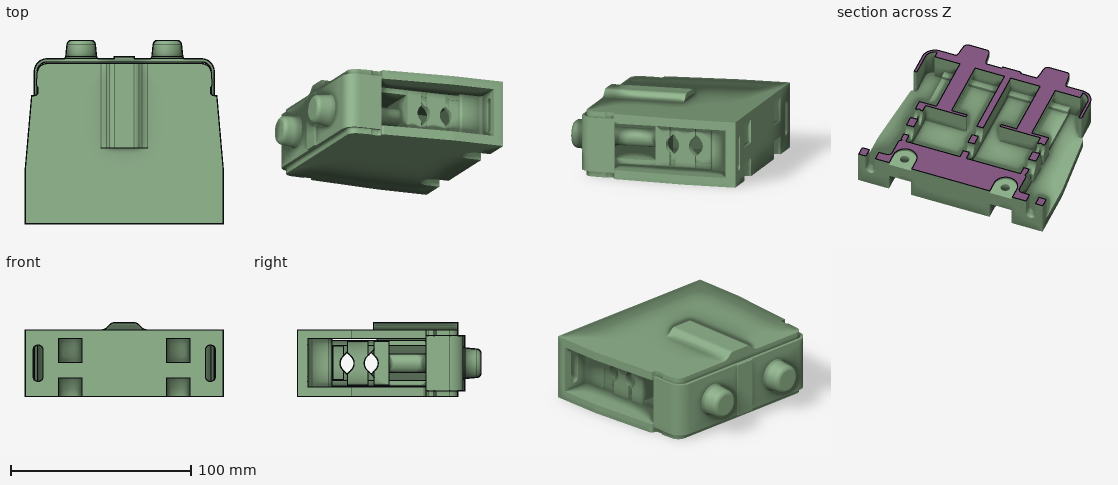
import cadquery as cq
import math

BODY_WIDTH = 110.0
BODY_HEIGHT = 37.0
HALF_WIDTH = BODY_WIDTH / 2
FLOOR_TOP = 5.2
CEILING = 32.1
FRONT_WALL = 5.7
MID_Z = BODY_HEIGHT / 2
TAPER_START_Y = 30.0
SHOULDER_Y = 71.2
SHOULDER_X = 51.4
PLATE_BACK_Y = 88.9
NECK_X = 48.0
NECK_END_Y = 75.7
BEAD_Y = 76.9
BEAD_X = 48.8
PLATE_BACK_X = 47.9
PLATE_CORNER_RADIUS = 5.1
NECK_FILLET = 1.6
LOWER_SHOULDER_FILLET = 1.2

BAND_HALF_WIDTH = 50.0
BAND_BACK_Y = 91.7
BAND_THICKNESS = 1.8
BAND_RADIUS = 7.4
BAND_BOTTOM = 3.2
BAND_TOP = BODY_HEIGHT - BAND_BOTTOM
TAB_WIDTH = 11.2
TAB_BACK_Y = 92.8
BACK_WALL_HALF_WIDTH = 43.5
BACK_WALL_FRONT_Y = 86.0
BACK_WALL_RECESS = 0.5

RAIL_HEIGHT = 4.0
RAIL_FRONT_Y = 42.1
RAIL_TOP_HALF = 5.5
RAIL_SHOULDER_HALF = 8.2
RAIL_SHOULDER_DROP = 1.3
RAIL_FOOT_RISE = 1.0
RAIL_BASE_HALF = 13.0

MOUNT_X = 30.0
POCKET_RADIUS = 6.6
POCKET_CENTER_Y = 7.0
LOWER_POCKET_TOP = 10.2
UPPER_POCKET_BOTTOM = 19.0
SCREW_HOLE_RADIUS = 2.6
SLOT_X = 47.75
SLOT_WIDTH = 5.4
SLOT_LENGTH = 20.2
FRONT_BLOCK_HALF = 38.1
FRONT_BLOCK_BACK_Y = 19.1
FRONT_BLOCK_EDGE = 1.8
FRONT_BLOCK_FILLET = 2.3

FRAME_HALF = 37.5
FRAME_LOWER_BOTTOM = 5.8
FRAME_LOWER_TOP = 8.8
FRAME_UPPER_BOTTOM = 28.4
FRAME_UPPER_TOP = 31.2
LEDGE_FRONT_Y = 82.3
LEDGE_TOP = 10.7
PLINTH_HALF = 35.0
SPACER_HALF = 10.0
SPACER_FRONT_Y = 44.0
DIVIDER_THICKNESS = 4.0

TERMINAL_X = 23.9
WIRE_Y = (27.5, 40.9)
WIRE_HALF_WIDTH = 3.8
WIRE_RADIUS = 5.4
WIRE_PEAK = WIRE_HALF_WIDTH + WIRE_RADIUS * (math.sqrt(2) - 1)
JAW_OUTER_X = 37.1
JAW_THICKNESS = 1.5
PLATE_THICKNESS = 1.2
PLATE_BOTTOM = 6.5
PLATE_TOP = 30.5
PRESSURE_PLATE_Y = (42.5, 50.8)
MIDDLE_PLATE_Y = (27.8, 39.1)
FIXED_JAW_Y = (19.7, 25.4)
FIXED_JAW_Z = (9.4, 28.0)
CROSS_BAR_THICKNESS = 2.0
CROSS_BAR_INNER_X = 10.0
SHANK_RADIUS = 5.05

KNOB_TIP_Y = 101.8
KNOB_FLAT_RADIUS = 6.0
KNOB_SHOULDER_RADIUS = 7.95
KNOB_SHOULDER_Y = 99.4
KNOB_BASE_RADIUS = 8.6
KNOB_FLARE_RADIUS = 9.2
KNOB_FLARE_Y = 92.9

SIDES = (-1, 1)
PICK_REACH = 0.2
COS_45 = math.sqrt(0.5)


def box(x_range, y_range, z_range):
    """Box spanning the given ranges, whose ends may come in either order."""
    spans = [sorted(span) for span in (x_range, y_range, z_range)]
    lengths = [high - low for low, high in spans]
    corner = tuple(low for low, high in spans)
    return cq.Workplane("XY").box(*lengths, centered=False).translate(corner)


def fillet_side_edges(body, x, y, radius):
    """Round the pair of vertical edges at (x, y) and (-x, y)."""
    for side in SIDES:
        low = (side * x - PICK_REACH, y - PICK_REACH, -PICK_REACH)
        high = (side * x + PICK_REACH, y + PICK_REACH, BODY_HEIGHT + PICK_REACH)
        body = body.edges(cq.selectors.BoxSelector(low, high)).edges("|Z").fillet(radius)
    return body


def housing_plate(bottom, top):
    """Tapered plate with a narrow neck and rounded back corners."""
    right = [
        (HALF_WIDTH, 0),
        (HALF_WIDTH, TAPER_START_Y),
        (SHOULDER_X, SHOULDER_Y),
        (NECK_X, SHOULDER_Y),
        (NECK_X, NECK_END_Y),
        (BEAD_X, BEAD_Y),
        (PLATE_BACK_X, PLATE_BACK_Y),
    ]
    left = [(-x, y) for x, y in reversed(right)]
    plate = cq.Workplane("XY").workplane(offset=bottom).polyline(right + left).close().extrude(top - bottom)
    plate = plate.edges("|Z and >Y").fillet(PLATE_CORNER_RADIUS)
    return fillet_side_edges(plate, NECK_X, SHOULDER_Y, NECK_FILLET)


def front_block():
    """Solid behind the front wall that holds the mounting pockets."""
    block = box(
        (-FRONT_BLOCK_HALF, FRONT_BLOCK_HALF), (FRONT_WALL, FRONT_BLOCK_BACK_Y), (FLOOR_TOP, CEILING)
    )
    block = block.edges("|Z and >Y").fillet(FRONT_BLOCK_EDGE)
    wall = box((-HALF_WIDTH, HALF_WIDTH), (0, FRONT_WALL), (FLOOR_TOP, CEILING))
    return fillet_side_edges(wall.union(block), FRONT_BLOCK_HALF, FRONT_WALL, FRONT_BLOCK_FILLET)


def housing():
    """Lower and upper plates joined at the front."""
    lower = housing_plate(0, FLOOR_TOP)
    lower = fillet_side_edges(lower, SHOULDER_X, SHOULDER_Y, LOWER_SHOULDER_FILLET)
    return lower.union(housing_plate(CEILING, BODY_HEIGHT)).union(front_block())


def band_outline(inset):
    """Block with rounded back corners, inset from the outer face of the band."""
    half = BAND_HALF_WIDTH - inset
    block = box((-half, half), (SHOULDER_Y, BAND_BACK_Y - inset), (BAND_BOTTOM, BAND_TOP))
    return block.edges("|Z and >Y").fillet(BAND_RADIUS - inset)


def cover_band():
    """U-shaped band with a central tab and the back wall that carries it."""
    band = band_outline(0).cut(band_outline(BAND_THICKNESS))
    tab = box(
        (-TAB_WIDTH / 2, TAB_WIDTH / 2), (BAND_BACK_Y - BAND_THICKNESS, TAB_BACK_Y), (BAND_BOTTOM, BAND_TOP)
    )
    back_wall = box(
        (-BACK_WALL_HALF_WIDTH, BACK_WALL_HALF_WIDTH),
        (BACK_WALL_FRONT_Y, BAND_BACK_Y - BAND_THICKNESS / 2),
        (BAND_BOTTOM + BACK_WALL_RECESS, BAND_TOP - BACK_WALL_RECESS),
    )
    return band.union(tab).union(back_wall)


def rail():
    """Rail with rounded shoulders, 45 degree flanks and hollow-rounded feet."""
    top = BODY_HEIGHT + RAIL_HEIGHT
    shoulder_z = top - RAIL_SHOULDER_DROP
    foot_z = BODY_HEIGHT + RAIL_FOOT_RISE
    foot_half = RAIL_SHOULDER_HALF + shoulder_z - foot_z
    foot_run = RAIL_BASE_HALF - foot_half
    foot_chord = math.hypot(foot_run, RAIL_FOOT_RISE)
    foot_sag = foot_chord / 2 * math.tan(math.atan2(RAIL_FOOT_RISE, foot_run) / 2)
    half_rail = (
        cq.Workplane("XZ", origin=(0, PLATE_BACK_Y, 0))
        .moveTo(0, top)
        .lineTo(RAIL_TOP_HALF, top)
        .tangentArcPoint((RAIL_SHOULDER_HALF, shoulder_z), relative=False)
        .lineTo(foot_half, foot_z)
        .sagittaArc((RAIL_BASE_HALF, BODY_HEIGHT), -foot_sag)
        .lineTo(0, BODY_HEIGHT)
        .close()
        .extrude(PLATE_BACK_Y - RAIL_FRONT_Y)
    )
    return half_rail.union(half_rail.mirror("YZ"))


def wire_hole(y):
    """Pointed wire opening along X: 45 degree flanks running into two round grooves."""
    arc_center = WIRE_HALF_WIDTH - WIRE_RADIUS
    flank_y = arc_center + WIRE_RADIUS * COS_45
    flank_z = WIRE_RADIUS * COS_45
    return (
        cq.Workplane("YZ", origin=(-HALF_WIDTH, y, MID_Z))
        .moveTo(0, WIRE_PEAK)
        .lineTo(flank_y, flank_z)
        .threePointArc((WIRE_HALF_WIDTH, 0), (flank_y, -flank_z))
        .lineTo(0, -WIRE_PEAK)
        .lineTo(-flank_y, -flank_z)
        .threePointArc((-WIRE_HALF_WIDTH, 0), (-flank_y, flank_z))
        .close()
        .extrude(BODY_WIDTH)
    )


def terminal_frame():
    """Two frame plates with their divider, back ledge, plinth below and spacer above."""
    span = (-FRAME_HALF, FRAME_HALF)
    depth = (FRONT_BLOCK_BACK_Y, BACK_WALL_FRONT_Y)
    half_divider = DIVIDER_THICKNESS / 2
    lower = box(span, depth, (FRAME_LOWER_BOTTOM, FRAME_LOWER_TOP))
    plinth = box((-PLINTH_HALF, PLINTH_HALF), depth, (FLOOR_TOP, FRAME_LOWER_BOTTOM))
    upper = box(span, depth, (FRAME_UPPER_BOTTOM, FRAME_UPPER_TOP))
    divider = box((-half_divider, half_divider), depth, (FRAME_LOWER_TOP, FRAME_UPPER_BOTTOM))
    ledge = box(span, (LEDGE_FRONT_Y, BACK_WALL_FRONT_Y), (FRAME_LOWER_TOP, LEDGE_TOP))
    spacer = box(
        (-SPACER_HALF, SPACER_HALF), (SPACER_FRONT_Y, BACK_WALL_FRONT_Y), (FRAME_UPPER_TOP, CEILING)
    )
    return lower.union(plinth).union(upper).union(divider).union(ledge).union(spacer)


def jaws(side):
    """Outer jaw with an open V behind the rear wire, backed by a full inner jaw."""
    outer_x = side * JAW_OUTER_X
    middle_x = side * (JAW_OUTER_X - JAW_THICKNESS)
    inner_x = side * (JAW_OUTER_X - 2 * JAW_THICKNESS)
    depth = (FRONT_BLOCK_BACK_Y, PRESSURE_PLATE_Y[1])
    height = (FRAME_LOWER_TOP, FRAME_UPPER_BOTTOM)
    outer_jaw = box((outer_x, middle_x), depth, height)
    flank_reach = FRAME_UPPER_BOTTOM - MID_Z
    rear_wire_y = WIRE_Y[1]
    v_end_y = rear_wire_y - WIRE_PEAK + flank_reach
    open_v = (
        cq.Workplane("YZ", origin=(-HALF_WIDTH, 0, MID_Z))
        .moveTo(rear_wire_y, WIRE_PEAK)
        .lineTo(v_end_y, flank_reach)
        .lineTo(v_end_y, -flank_reach)
        .lineTo(rear_wire_y, -WIRE_PEAK)
        .close()
        .extrude(BODY_WIDTH)
    )
    inner_jaw = box((middle_x, inner_x), depth, height)
    return outer_jaw.cut(open_v).union(inner_jaw)


def clamp(side):
    """Jaws, side plates and cross bar of one terminal."""
    jaw_x = side * JAW_OUTER_X
    plate_inner_x = side * FRAME_HALF
    plate_outer_x = side * (FRAME_HALF + PLATE_THICKNESS)
    parts = jaws(side)
    for depth in (PRESSURE_PLATE_Y, MIDDLE_PLATE_Y):
        parts = parts.union(box((jaw_x, plate_outer_x), depth, (PLATE_BOTTOM, PLATE_TOP)))
    parts = parts.union(box((jaw_x, plate_inner_x), FIXED_JAW_Y, FIXED_JAW_Z))
    cross_bar_y = (PRESSURE_PLATE_Y[1] - CROSS_BAR_THICKNESS, PRESSURE_PLATE_Y[1])
    cross_bar = box(
        (side * CROSS_BAR_INNER_X, plate_inner_x), cross_bar_y, (FRAME_LOWER_TOP, FRAME_UPPER_BOTTOM)
    )
    return parts.union(cross_bar)


def screw(side):
    """Clamping screw along Y with its tapered, round-tipped knob."""
    start_y = PRESSURE_PLATE_Y[1] - CROSS_BAR_THICKNESS
    return (
        cq.Workplane("XY")
        .moveTo(0, start_y)
        .lineTo(SHANK_RADIUS, start_y)
        .lineTo(SHANK_RADIUS, BACK_WALL_FRONT_Y)
        .lineTo(KNOB_FLARE_RADIUS, BACK_WALL_FRONT_Y)
        .lineTo(KNOB_FLARE_RADIUS, BAND_BACK_Y)
        .lineTo(KNOB_BASE_RADIUS, KNOB_FLARE_Y)
        .lineTo(KNOB_SHOULDER_RADIUS, KNOB_SHOULDER_Y)
        .tangentArcPoint((KNOB_FLAT_RADIUS, KNOB_TIP_Y), relative=False)
        .lineTo(0, KNOB_TIP_Y)
        .close()
        .revolve(360, (0, 0, 0), (0, 1, 0))
        .translate((side * TERMINAL_X, 0, MID_Z))
    )


def pocket(x, bottom, top):
    """Round-ended pocket running in from the front face."""
    round_end = (
        cq.Workplane("XY", origin=(x, POCKET_CENTER_Y, bottom)).circle(POCKET_RADIUS).extrude(top - bottom)
    )
    mouth = box((x - POCKET_RADIUS, x + POCKET_RADIUS), (0, POCKET_CENTER_Y), (bottom, top))
    return round_end.union(mouth)


def front_openings(side):
    """Mounting pockets, their screw hole and the side slot on one side."""
    x = side * MOUNT_X
    hole = cq.Workplane("XY", origin=(x, POCKET_CENTER_Y, 0)).circle(SCREW_HOLE_RADIUS)
    slot = (
        cq.Workplane("XZ", origin=(side * SLOT_X, 0, MID_Z))
        .slot2D(SLOT_LENGTH, SLOT_WIDTH, 90)
        .extrude(-FRONT_WALL)
    )
    return (
        pocket(x, 0, LOWER_POCKET_TOP)
        .union(pocket(x, UPPER_POCKET_BOTTOM, CEILING))
        .union(hole.extrude(UPPER_POCKET_BOTTOM))
        .union(slot)
    )


terminals = terminal_frame()
for terminal_side in SIDES:
    terminals = terminals.union(clamp(terminal_side))
for wire_y in WIRE_Y:
    terminals = terminals.cut(wire_hole(wire_y))

result = housing().union(cover_band()).union(rail()).union(terminals)
for hand in SIDES:
    result = result.union(screw(hand)).cut(front_openings(hand))